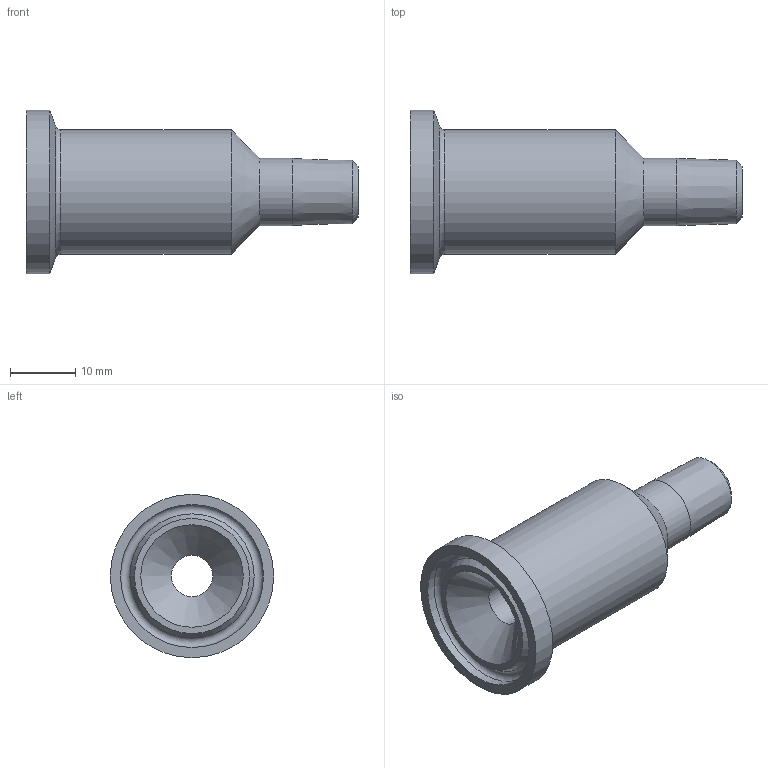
import math

import cadquery as cq

total_length = 50.8
flange_thickness = 3.63
body_end = 31.4
neck_end = 40.75

flange_diameter = 24.99
body_diameter = 19.05
neck_diameter = 10.29

flange_back_angle = 20.0
flange_fillet_radius = 0.85
shoulder_angle = 45.0
thread_taper = 1 / 16
tip_chamfer = 0.89

hole_diameter = 6.35
funnel_diameter = 15.68
funnel_angle = 45.0

land_recess = 0.79
land_diameter = 17.6
groove_diameter = 21.89
groove_wall_depth = 1.37
groove_radius = 0.79


def tan_deg(angle):
    return math.tan(math.radians(angle))


def revolve_profile(profile):
    """Turn a closed (axial, radial) profile about the X axis."""
    return profile.revolve(360, (0, 0, 0), (1, 0, 0))


def make_outer_body():
    """Flange, body, shoulder cone, neck and tapered end as one solid of revolution."""
    flange_r = flange_diameter / 2
    body_r = body_diameter / 2
    neck_r = neck_diameter / 2

    corner_x = flange_thickness + (flange_r - body_r) * tan_deg(flange_back_angle)
    shoulder_end = body_end + (body_r - neck_r) / tan_deg(shoulder_angle)
    chamfer_start = total_length - tip_chamfer
    thread_end_r = neck_r - (chamfer_start - neck_end) * thread_taper / 2

    slope = math.radians(flange_back_angle)
    turn = math.pi / 2 - slope
    tangent_length = flange_fillet_radius * math.tan(turn / 2)
    fillet_end_x = corner_x + tangent_length
    fillet_start = (
        corner_x - tangent_length * math.sin(slope),
        body_r + tangent_length * math.cos(slope),
    )
    fillet_middle = (
        fillet_end_x - flange_fillet_radius * math.sin(turn / 2),
        body_r + flange_fillet_radius * (1 - math.cos(turn / 2)),
    )

    profile = (
        cq.Workplane("XY")
        .lineTo(0, flange_r)
        .lineTo(flange_thickness, flange_r)
        .lineTo(*fillet_start)
        .threePointArc(fillet_middle, (fillet_end_x, body_r))
        .lineTo(body_end, body_r)
        .lineTo(shoulder_end, neck_r)
        .lineTo(neck_end, neck_r)
        .lineTo(chamfer_start, thread_end_r)
        .lineTo(total_length, thread_end_r - tip_chamfer)
        .lineTo(total_length, 0)
        .close()
    )
    return revolve_profile(profile)


def make_cavity():
    """Gasket groove, recessed land, funnel and through hole as one cutting solid."""
    groove_r = groove_diameter / 2
    land_r = land_diameter / 2
    funnel_r = funnel_diameter / 2
    hole_r = hole_diameter / 2
    funnel_end = land_recess + (funnel_r - hole_r) / tan_deg(funnel_angle)

    center_x = groove_wall_depth
    center_r = groove_r - groove_radius
    to_land = math.hypot(land_recess - center_x, land_r - center_r)
    land_direction = math.atan2(land_r - center_r, land_recess - center_x)
    arc_end = land_direction + math.acos(groove_radius / to_land) + 2 * math.pi
    arc_start = math.pi / 2

    def on_groove(angle):
        return (
            center_x + groove_radius * math.cos(angle),
            center_r + groove_radius * math.sin(angle),
        )

    profile = (
        cq.Workplane("XY")
        .lineTo(0, groove_r)
        .lineTo(*on_groove(arc_start))
        .threePointArc(on_groove(0), on_groove(arc_end))
        .lineTo(land_recess, land_r)
        .lineTo(land_recess, funnel_r)
        .lineTo(funnel_end, hole_r)
        .lineTo(total_length, hole_r)
        .lineTo(total_length, 0)
        .close()
    )
    return revolve_profile(profile)


result = make_outer_body().cut(make_cavity())